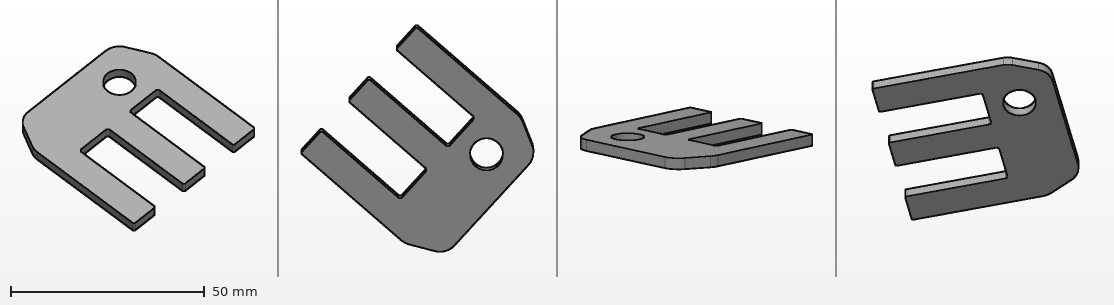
import cadquery as cq

length = 46.0
prong_width = 8.0
slot_width = 10.5
prong_count = 3
thickness = 3.0
slot_count = prong_count - 1
width = prong_count * prong_width + slot_count * slot_width

slot_floor_x = 18.65
slot_length = length - slot_floor_x

corner_cut_x = 10.0
corner_cut_y = 5.0
corner_radius = 5.0

tip_radius = 0.5
slot_corner_radius = 0.7

hole_diameter = 8.5
hole_x = 10.0
hole_y = width - 13.25


def make_plate():
    """Flat plate with two cut-off, rounded corners at the -X end."""
    outline = [
        (corner_cut_x, 0),
        (length, 0),
        (length, width),
        (corner_cut_x, width),
        (0, width - corner_cut_y),
        (0, corner_cut_y),
    ]
    plate = cq.Workplane("XY").polyline(outline).close().extrude(thickness)
    return plate.edges("|Z").edges("not(>X)").fillet(corner_radius)


def make_slot(index):
    """Rectangular cutter for one slot, counted from the -Y side."""
    start_y = prong_width + index * (prong_width + slot_width)
    slot = cq.Workplane("XY").box(slot_length, slot_width, thickness, centered=False)
    slot = slot.edges("|Z and <X").fillet(slot_corner_radius)
    return slot.translate((slot_floor_x, start_y, 0))


result = make_plate()
for slot_index in range(slot_count):
    result = result.cut(make_slot(slot_index))

result = result.edges("|Z and >X").fillet(tip_radius)

hole = cq.Workplane("XY").center(hole_x, hole_y).circle(hole_diameter / 2).extrude(thickness)
result = result.cut(hole)